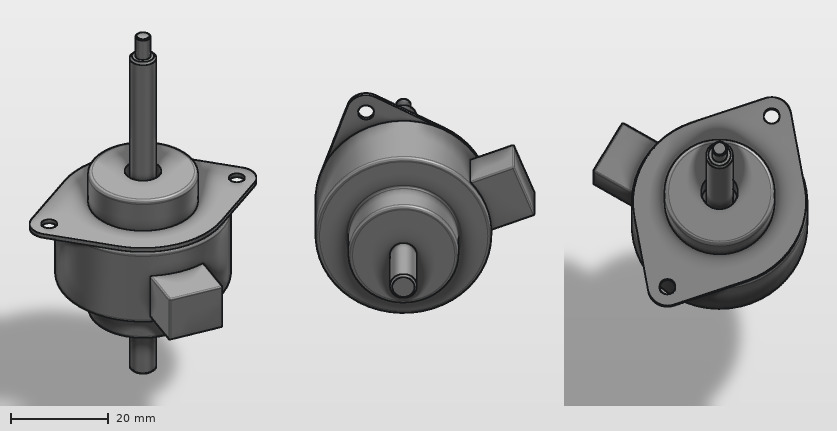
import cadquery as cq
import math

total_height = 81.0
lower_boss_bottom = 14.25
can_bottom = 22.6
flange_bottom = 39.8
flange_thickness = 1.0
flange_top = flange_bottom + flange_thickness
upper_boss_top = 48.0

can_radius = 18.0
boss_radius = 11.25
housing_fillet = 0.8
boss_root_fillet = 0.5
recess_radius = 3.7
recess_bottom = flange_top

flange_length = 50.0
flange_radius = 17.65
ear_offset = 21.0
ear_radius = flange_length / 2 - ear_offset
ear_hole_radius = 1.6

connector_end = 26.5
connector_width = 12.0
connector_height = 10.05
connector_middle = 29.1
connector_fillet = 0.3

shaft_radius = 2.75
shaft_chamfer = 0.5
tip_radius = 1.5
tip_length = 4.95
tip_chamfer = 0.25


def cylinder(radius, bottom, top):
    """Cylinder on the Z axis between two heights."""
    return cq.Workplane("XY").workplane(offset=bottom).circle(radius).extrude(top - bottom)


def make_flange():
    """Plate whose outline joins the round middle to each ear with tangent lines."""
    tangent_angle = math.asin((flange_radius - ear_radius) / ear_offset)
    across = math.cos(tangent_angle)
    along = math.sin(tangent_angle)
    middle_x = flange_radius * across
    middle_y = flange_radius * along
    ear_x = ear_radius * across
    ear_y = ear_offset + ear_radius * along
    ear_tip = ear_offset + ear_radius
    outline = (
        cq.Workplane("XY")
        .workplane(offset=flange_bottom)
        .moveTo(middle_x, -middle_y)
        .threePointArc((flange_radius, 0), (middle_x, middle_y))
        .lineTo(ear_x, ear_y)
        .threePointArc((0, ear_tip), (-ear_x, ear_y))
        .lineTo(-middle_x, middle_y)
        .threePointArc((-flange_radius, 0), (-middle_x, -middle_y))
        .lineTo(-ear_x, -ear_y)
        .threePointArc((0, -ear_tip), (ear_x, -ear_y))
        .close()
    )
    ear_holes = (
        cq.Workplane("XY")
        .workplane(offset=flange_bottom)
        .pushPoints([(0, ear_offset), (0, -ear_offset)])
        .circle(ear_hole_radius)
        .extrude(flange_thickness)
    )
    return outline.extrude(flange_thickness).cut(ear_holes)


def make_connector():
    """Block reaching from the shaft axis out through the can wall, rounded on its exposed edges."""
    block = cq.Workplane("XY").box(
        connector_end, connector_width, connector_height, centered=(False, True, True)
    )
    return block.edges("|X or >X").fillet(connector_fillet).translate((0, 0, connector_middle))


def make_housing():
    """Can, bosses, flange and connector as one solid with a shaft bore and a wider recess on top."""
    can = cylinder(can_radius, can_bottom, flange_bottom).edges().fillet(housing_fillet)
    lower_boss = cylinder(boss_radius, lower_boss_bottom, can_bottom)
    lower_boss = lower_boss.faces("<Z").edges().fillet(housing_fillet)
    upper_boss = cylinder(boss_radius, flange_top, upper_boss_top)
    upper_boss = upper_boss.faces(">Z").edges().fillet(housing_fillet)

    stepped_can = can.union(lower_boss)
    underside = cq.selectors.NearestToPointSelector((0, 0, can_bottom))
    boss_root = cq.selectors.RadiusNthSelector(0)
    stepped_can = stepped_can.faces(underside).edges(boss_root).fillet(boss_root_fillet)

    shaft_bore = cylinder(shaft_radius, lower_boss_bottom, upper_boss_top)
    recess = cylinder(recess_radius, recess_bottom, upper_boss_top)
    housing = stepped_can.union(make_connector()).union(make_flange()).union(upper_boss)
    return housing.cut(shaft_bore).cut(recess)


def make_shaft():
    """Plain shaft with a thinner tip on top; every outer end is chamfered."""
    shoulder = total_height - tip_length
    barrel = cylinder(shaft_radius, 0, shoulder).faces("<Z or >Z").edges().chamfer(shaft_chamfer)
    tip = cylinder(tip_radius, shoulder, total_height).faces(">Z").edges().chamfer(tip_chamfer)
    return barrel.union(tip)


housing = make_housing()
shaft = make_shaft()
result = cq.Compound.makeCompound([housing.solids().val(), shaft.solids().val()])